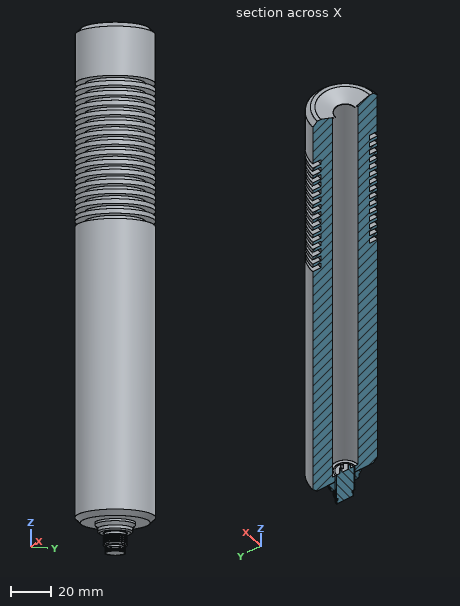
import cadquery as cq
import math

total_height = 265.3
housing_diameter = 40.0
housing_bottom = 15.5
edge_chamfer = 2.7
head_diameter = 39.8
head_height = 27.5
fin_count = 14
fin_thickness = 2.33
fin_gap = 2.7
fin_pitch = fin_thickness + fin_gap
fin_root_diameter = 30.0

funnel_mouth_diameter = 30.0
funnel_neck_diameter = 12.0
funnel_depth = 3.5
neck_lip = 0.3
cavity_diameter = 15.5
cavity_floor = 20.0

collar_diameter = 20.2
collar_rim_height = 1.0
collar_cone_height = 1.9
collar_step_diameter = 17.5
collar_bottom = 10.0
collar_chamfer = 0.8

thread_diameter = 12.0
thread_root_diameter = 11.5
thread_pitch = 1.0
thread_turns = 4
undercut_diameter = 11.0
undercut_height = 1.3
sleeve_bottom = 3.5
sleeve_chamfer = 0.5

insert_diameter = 10.3
neck_diameter = 9.0
end_ring_height = 2.5
end_groove_diameter = 10.0
end_groove_pitch = 0.8
end_groove_count = 2
pin_diameter = 1.5
pin_height = 2.7
pin_count = 4
pin_circle_radius = 2.7


def cylinder(diameter, bottom, top):
    """Solid cylinder on the Z axis between two heights."""
    return cq.Workplane("XY").workplane(offset=bottom).circle(diameter / 2).extrude(top - bottom)


def cone(bottom_diameter, top_diameter, bottom, top):
    """Solid truncated cone on the Z axis between two heights."""
    profile = [(0, bottom), (bottom_diameter / 2, bottom), (top_diameter / 2, top), (0, top)]
    return cq.Workplane("XZ").polyline(profile).close().revolve(360, (0, 0, 0), (0, 1, 0))


def ring(outer_diameter, inner_diameter, bottom, top):
    """Flat-sided ring on the Z axis, for cutting a square groove."""
    return cylinder(outer_diameter, bottom, top).cut(cylinder(inner_diameter, bottom, top))


def v_ring(outer_diameter, root_diameter, middle, width):
    """Ring with a triangular section, for cutting a V groove."""
    outer = outer_diameter / 2
    profile = [(outer, middle - width / 2), (root_diameter / 2, middle), (outer, middle + width / 2)]
    return cq.Workplane("XZ").polyline(profile).close().revolve(360, (0, 0, 0), (0, 1, 0))


def make_housing():
    head_bottom = total_height - head_height
    fins_bottom = head_bottom - fin_count * fin_pitch - fin_gap
    barrel = cylinder(housing_diameter, housing_bottom, fins_bottom).faces("<Z").chamfer(edge_chamfer)
    head = cylinder(head_diameter, head_bottom, total_height).faces(">Z").chamfer(edge_chamfer)
    housing = barrel.union(cylinder(fin_root_diameter, fins_bottom, head_bottom)).union(head)

    for index in range(fin_count):
        fin_top = head_bottom - fin_gap - index * fin_pitch
        housing = housing.union(cylinder(housing_diameter, fin_top - fin_thickness, fin_top))

    neck_top = total_height - funnel_depth
    cavity_top = neck_top - neck_lip
    funnel = cone(funnel_neck_diameter, funnel_mouth_diameter, neck_top, total_height)
    housing = housing.cut(funnel).cut(cylinder(funnel_neck_diameter, cavity_top, neck_top))
    housing = housing.cut(cylinder(cavity_diameter, cavity_floor, cavity_top))
    return housing.cut(cylinder(thread_diameter, housing_bottom, cavity_floor))


def make_collar():
    rim_bottom = housing_bottom - collar_rim_height
    step_top = rim_bottom - collar_cone_height
    rim = cylinder(collar_diameter, rim_bottom, housing_bottom)
    taper = cone(collar_step_diameter, collar_diameter, step_top, rim_bottom)
    step = cylinder(collar_step_diameter, collar_bottom, step_top).faces("<Z").chamfer(collar_chamfer)
    collar = rim.union(taper).union(step)
    return collar.cut(cylinder(thread_diameter, collar_bottom, housing_bottom))


def make_sleeve():
    sleeve = cylinder(thread_diameter, sleeve_bottom, cavity_floor).faces("<Z").chamfer(sleeve_chamfer)
    undercut_bottom = collar_bottom - undercut_height
    sleeve = sleeve.cut(ring(thread_diameter, undercut_diameter, undercut_bottom, collar_bottom))
    for turn in range(thread_turns):
        middle = undercut_bottom - (turn + 0.5) * thread_pitch
        sleeve = sleeve.cut(v_ring(thread_diameter, thread_root_diameter, middle, thread_pitch))
    return sleeve.cut(cylinder(insert_diameter, sleeve_bottom, cavity_floor))


def make_insert():
    insert = cylinder(insert_diameter, 0, cavity_floor)
    insert = insert.cut(ring(insert_diameter, neck_diameter, end_ring_height, sleeve_bottom))
    for index in range(end_groove_count):
        bottom = (index + 0.5) * end_groove_pitch
        groove = ring(insert_diameter, end_groove_diameter, bottom, bottom + end_groove_pitch / 2)
        insert = insert.cut(groove)

    for index in range(pin_count):
        angle = index * 2 * math.pi / pin_count
        x = pin_circle_radius * math.cos(angle)
        y = pin_circle_radius * math.sin(angle)
        pin = cylinder(pin_diameter, cavity_floor, cavity_floor + pin_height).translate((x, y, 0))
        insert = insert.union(pin)
    return insert


housing = make_housing()
collar = make_collar()
sleeve = make_sleeve()
insert = make_insert()

result = cq.Compound.makeCompound([housing.val(), collar.val(), sleeve.val(), insert.val()])